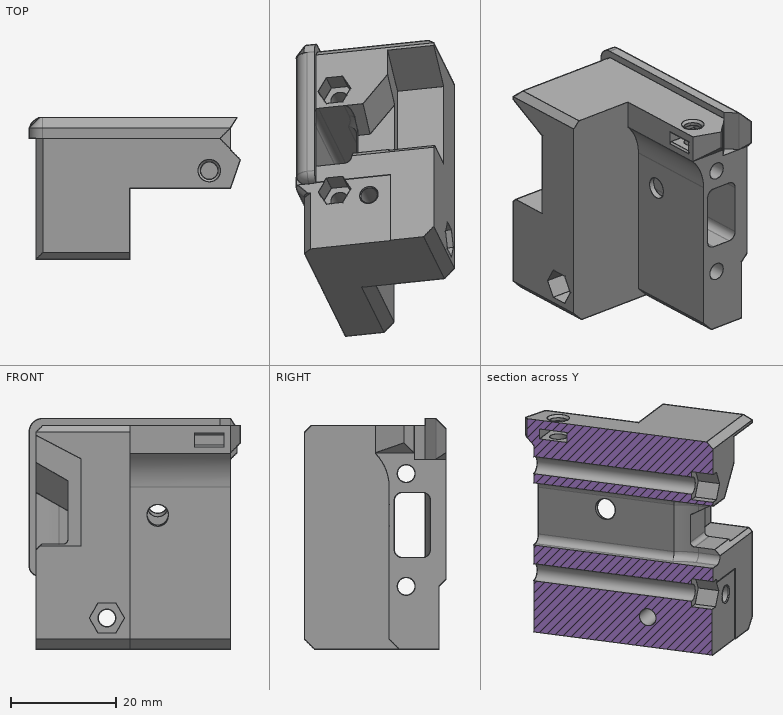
import cadquery as cq
import math


BACK_Y = 27.0
TOP_Z = 42.7
BLOCK_X = 17.85
BODY_X = 37.05
STEP_DEPTH = 1.35
STEP_Z = 12.0
TOP_CHAMFER = 1.3
FOOT_CHAMFER = 2.0
REAR_CHAMFER = 1.75

ARM_Y = 13.5
ARM_HEAD_Z = 37.35
COVE_RADIUS = 9.0
COVE_ANGLE = math.radians(45)
COVE_FOOT_Z = ARM_HEAD_Z - COVE_RADIUS * math.sin(COVE_ANGLE)
WALL_Y = ARM_Y + COVE_RADIUS * (1 - math.cos(COVE_ANGLE))

RIM = 1.3
PLATE_Z = TOP_Z + RIM
PLATE_Y = 23.0
PLATE_FOOT_Z = 13.95
PLATE_CORNER = 2.6
PLATE_FOOT_CORNER = 2.0
PLATE_CHAMFER = 2.0

EAR_TIP = (38.95, 18.95)
EAR_EDGE_Z = 39.35
NOTCH_APEX_X = 35.02
NOTCH_HALF = BODY_X - NOTCH_APEX_X
LIP_X = 38.32
LIP_FOOT_Z = 36.2

DUCT_Z = (17.5, 29.88)
DUCT_FRONT_Y = 17.15
DUCT_BACK_Y = 24.02
DUCT_MOUTH_Y = 16.0
DUCT_FILLET = 1.5
BEND_RADIUS = 10.0
BEND_X = 4.4

OUTER_POCKET_X = 8.6
OUTER_POCKET_Y = 9.0
OUTER_FLOOR_Z = 19.7
OUTER_ROOF_Z = (40.8, 36.3)
INNER_POCKET_X = 6.05
INNER_FLOOR_Z = 20.05
INNER_ROOF_Z = (29.88, 26.4)
INNER_ROOF_Y = 13.8
INNER_ROOF_RISE = 5.7
POCKET_FILLET = 0.9
SILL_Z = 18.95

BOLT_DIAMETER = 3.35
BOLT_Y = 19.4
BOLT_Z = (12.0, 33.5)
SIDE_HEX_FLATS = 5.5
FRONT_BOLT_DIAMETER = 3.3
FRONT_BOLT = (13.5, 6.0)
FRONT_HEX_FLATS = 5.8
HEX_DEPTH = 4.4

EAR_HOLE = (33.0, 16.9)
EAR_HOLE_DIAMETER = 3.3
EAR_HOLE_MOUTH = 4.25
EAR_HOLE_DEPTH = 6.6
NUT_SLOT_WIDTH = 5.55
NUT_SLOT_Z = (38.6, 41.2)
NUT_SLOT_DEPTH = 6.15
NUT_SLOT_BEVEL = 0.35
SQUARE_HEIGHT = 0.75

SIDE_HOLE = (12.7, 10.25)
SIDE_HOLE_DIAMETER = 3.2
SIDE_HOLE_MOUTH = 3.6
SIDE_HOLE_DEPTH = 6.15

TILTED_HOLE = (23.2, 25.5)
TILTED_HOLE_DIAMETER = 4.05
TILT_ANGLE = 13.0

PAD_Y = 8.5
PAD_Z = 14.1
PAD_DEPTH = 0.18

CLEAR = 2.2


def along_x(points, start, end):
    """Prism along X from (Y, Z) points."""
    return cq.Workplane("YZ", origin=(start, 0, 0)).polyline(points).close().extrude(end - start)


def along_y(points, start, end):
    """Prism along Y from (X, Z) points."""
    return cq.Workplane("XZ", origin=(0, start, 0)).polyline(points).close().extrude(start - end)


def along_z(points, start, end):
    """Prism along Z from (X, Y) points."""
    return cq.Workplane("XY", origin=(0, 0, start)).polyline(points).close().extrude(end - start)


def make_body():
    rear = [
        (BACK_Y - STEP_DEPTH, 0),
        (BACK_Y - STEP_DEPTH, STEP_Z),
        (BACK_Y, STEP_Z + STEP_DEPTH),
        (BACK_Y, PLATE_Z - PLATE_CHAMFER),
        (BACK_Y - PLATE_CHAMFER + RIM, TOP_Z),
    ]
    block_front = [
        (TOP_CHAMFER, TOP_Z),
        (0, TOP_Z - TOP_CHAMFER),
        (0, FOOT_CHAMFER),
        (FOOT_CHAMFER, 0),
    ]
    block = along_x(rear + block_front, 0, BLOCK_X)

    half_angle = COVE_ANGLE / 2
    cove_middle = (
        WALL_Y - COVE_RADIUS * (1 - math.cos(half_angle)),
        COVE_FOOT_Z + COVE_RADIUS * math.sin(half_angle),
    )
    arm = (
        cq.Workplane("YZ")
        .polyline(rear + [(ARM_Y, TOP_Z), (ARM_Y, ARM_HEAD_Z)])
        .threePointArc(cove_middle, (WALL_Y, COVE_FOOT_Z))
        .lineTo(WALL_Y, FOOT_CHAMFER)
        .lineTo(WALL_Y + FOOT_CHAMFER, 0)
        .close()
        .extrude(BODY_X)
    )
    body = block.union(arm)

    top_left = [(0, TOP_Z - TOP_CHAMFER), (TOP_CHAMFER, TOP_Z), (0, TOP_Z)]
    body = body.cut(along_y(top_left, 0, BACK_Y))

    lower_y = BACK_Y - STEP_DEPTH
    left_rear = [(0, lower_y - REAR_CHAMFER), (REAR_CHAMFER, lower_y), (0, lower_y)]
    body = body.cut(along_z(left_rear, 0, STEP_Z))
    return body.cut(step_left_round())


def step_left_round():
    """Waste outside the round that runs up the left edge of the 45 degree step."""
    rear_y = BACK_Y - STEP_DEPTH
    centre_y = rear_y - REAR_CHAMFER
    diagonal = REAR_CHAMFER * math.sqrt(0.5)
    section = (
        cq.Workplane("XY", origin=(0, 0, STEP_Z))
        .moveTo(0, centre_y)
        .threePointArc((REAR_CHAMFER - diagonal, centre_y + diagonal), (REAR_CHAMFER, rear_y))
        .lineTo(0, rear_y)
        .close()
    )
    rise = STEP_DEPTH + REAR_CHAMFER
    return cq.Workplane(cq.Solid.extrudeLinear(section.val(), [], cq.Vector(0, rise, rise)))


def make_plate():
    outline = [
        (-RIM, PLATE_FOOT_Z),
        (BODY_X, PLATE_FOOT_Z),
        (BODY_X, PLATE_Z),
        (-RIM, PLATE_Z),
    ]
    plate = along_y(outline, PLATE_Y, BACK_Y)
    plate = plate.edges("|Y and <X and >Z").fillet(PLATE_CORNER)
    return plate.edges("|Y and <X and <Z").fillet(PLATE_FOOT_CORNER)


def make_ear():
    """Ear beyond the right face, with a 45 degree underside."""
    tip_x, tip_y = EAR_TIP
    reach = tip_x - BODY_X
    ear = along_z([(BODY_X, ARM_Y), EAR_TIP, (BODY_X, tip_y + reach)], ARM_HEAD_Z, TOP_Z)
    underside = [(BODY_X, EAR_EDGE_Z - reach), (tip_x, EAR_EDGE_Z), (tip_x, 0), (BODY_X, 0)]
    return ear.cut(along_y(underside, 0, BACK_Y))


def make_lip():
    """Tapered end of the face plate, with a 45 degree underside."""
    outline = [(BODY_X, PLATE_Y + NOTCH_HALF), (LIP_X, BACK_Y), (BODY_X, BACK_Y)]
    lip = along_z(outline, LIP_FOOT_Z, PLATE_Z)
    underside = [(BODY_X, LIP_FOOT_Z), (LIP_X, LIP_FOOT_Z + LIP_X - BODY_X), (LIP_X, LIP_FOOT_Z)]
    return lip.cut(along_y(underside, 0, BACK_Y))


def notch():
    outline = [
        (NOTCH_APEX_X, PLATE_Y),
        (BODY_X, PLATE_Y - NOTCH_HALF),
        (BODY_X, PLATE_Y + NOTCH_HALF),
    ]
    return along_z(outline, LIP_FOOT_Z, PLATE_Z)


def plate_top_chamfer():
    corner = [(BACK_Y - PLATE_CHAMFER, PLATE_Z), (BACK_Y, PLATE_Z), (BACK_Y, PLATE_Z - PLATE_CHAMFER)]
    return along_x(corner, -RIM, LIP_X)


def plate_left_round():
    """Waste outside the rounded left rear edge of the face plate and its two corners."""
    foot_z = PLATE_FOOT_Z + PLATE_FOOT_CORNER
    top_z = PLATE_Z - PLATE_CORNER
    arc_x = PLATE_CORNER - RIM
    arc_y = BACK_Y - PLATE_CORNER

    def section(z, end_x):
        """Area between the rounded and the square edge, cut off at end_x."""

        def on_round(x):
            return x, arc_y + math.sqrt(PLATE_CORNER**2 - (arc_x - x) ** 2)

        return (
            cq.Workplane("XY", origin=(0, 0, z))
            .moveTo(-RIM, arc_y)
            .threePointArc(on_round((end_x - RIM) / 2), on_round(end_x))
            .lineTo(end_x, BACK_Y + CLEAR)
            .lineTo(-RIM, BACK_Y + CLEAR)
            .close()
        )

    foot_x = PLATE_FOOT_CORNER - RIM
    straight = section(foot_z, arc_x).extrude(top_z - foot_z)
    bevel = [(-RIM, BACK_Y - PLATE_CHAMFER), (PLATE_CHAMFER - RIM, BACK_Y), (-RIM, BACK_Y)]
    bevel_section = cq.Workplane("XY", origin=(0, 0, top_z)).polyline(bevel).close()
    top = bevel_section.revolve(90, (arc_x, 0, 0), (arc_x, 1, 0))
    foot = section(foot_z, foot_x).revolve(90, (foot_x, 0.45, 0), (foot_x, 0, 0))
    return straight, top, foot


def duct():
    """Passage along X whose walls bend forward towards the left."""
    mouth_drop = DUCT_FRONT_Y - DUCT_MOUTH_Y
    front_angle = math.acos(1 - mouth_drop / BEND_RADIUS)
    back_angle = math.asin(BEND_X / BEND_RADIUS)

    def front_bend(angle):
        """Point on the arc that leaves the mouth's front wall tangentially."""
        return (
            BEND_X + BEND_RADIUS * math.sin(angle),
            DUCT_MOUTH_Y + BEND_RADIUS * (1 - math.cos(angle)),
        )

    def back_bend(angle):
        """Point on the arc that leaves the straight rear wall tangentially."""
        return (
            BEND_X - BEND_RADIUS * math.sin(angle),
            DUCT_BACK_Y - BEND_RADIUS * (1 - math.cos(angle)),
        )

    end_x = BODY_X + CLEAR
    passage = (
        cq.Workplane("XY", origin=(0, 0, DUCT_Z[0]))
        .moveTo(0, DUCT_MOUTH_Y)
        .lineTo(BEND_X, DUCT_MOUTH_Y)
        .threePointArc(front_bend(front_angle / 2), front_bend(front_angle))
        .lineTo(end_x, DUCT_FRONT_Y)
        .lineTo(end_x, DUCT_BACK_Y)
        .lineTo(0, DUCT_BACK_Y)
        .close()
        .extrude(DUCT_Z[1] - DUCT_Z[0])
    )
    long_edges = passage.faces("<Z or >Z").edges("not(<X or >X)")
    rear_swell = (
        cq.Workplane("XY", origin=(0, 0, DUCT_Z[0]))
        .moveTo(BEND_X, DUCT_BACK_Y)
        .threePointArc(back_bend(back_angle / 2), back_bend(back_angle))
        .lineTo(0, DUCT_BACK_Y)
        .close()
        .extrude(DUCT_Z[1] - DUCT_Z[0])
    )
    return long_edges.fillet(DUCT_FILLET).cut(rear_swell)


def outer_pocket():
    left_roof_z, end_roof_z = OUTER_ROOF_Z
    outline = [
        (0, OUTER_FLOOR_Z),
        (OUTER_POCKET_X, OUTER_FLOOR_Z),
        (OUTER_POCKET_X, end_roof_z),
        (0, left_roof_z),
    ]
    return along_y(outline, 0, OUTER_POCKET_Y)


def inner_pocket():
    """Pocket from the outer one to the duct; its roof falls to the right and to the rear."""
    left_roof_z, end_roof_z = INNER_ROOF_Z
    rear_y = DUCT_MOUTH_Y + DUCT_FILLET

    outline = [
        (0, INNER_FLOOR_Z),
        (INNER_POCKET_X, INNER_FLOOR_Z),
        (INNER_POCKET_X, end_roof_z + INNER_ROOF_RISE),
        (0, left_roof_z + INNER_ROOF_RISE),
    ]
    floor_to_roof = along_y(outline, OUTER_POCKET_Y, rear_y)
    roof_section = [
        cq.Vector(0, OUTER_POCKET_Y, left_roof_z + INNER_ROOF_RISE),
        cq.Vector(0, INNER_ROOF_Y, left_roof_z),
        cq.Vector(0, rear_y, left_roof_z),
        cq.Vector(0, rear_y, TOP_Z),
        cq.Vector(0, OUTER_POCKET_Y, TOP_Z),
    ]
    roof = cq.Solid.extrudeLinear(
        cq.Wire.makePolygon(roof_section, close=True),
        [],
        cq.Vector(INNER_POCKET_X, 0, end_roof_z - left_roof_z),
    )
    pocket = floor_to_roof.edges("|Y and >X and <Z").fillet(POCKET_FILLET)
    return pocket.cut(cq.Workplane(roof))


def sill_bevel():
    """Bevel where the pocket floors meet the left face."""

    def bevel(floor_z, start, end):
        size = floor_z - SILL_Z
        return along_y([(0, SILL_Z), (size, floor_z), (0, floor_z)], start, end)

    return bevel(OUTER_FLOOR_Z, 0, OUTER_POCKET_Y).union(
        bevel(INNER_FLOOR_Z, OUTER_POCKET_Y, DUCT_MOUTH_Y)
    )


def hexagon(plane, flats):
    return plane.polygon(6, flats / math.cos(math.pi / 6)).extrude(HEX_DEPTH)


def side_bolt(z):
    plane = cq.Workplane("YZ", origin=(0, BOLT_Y, z))
    return plane.circle(BOLT_DIAMETER / 2).extrude(BODY_X).union(hexagon(plane, SIDE_HEX_FLATS))


def front_bolt():
    x, z = FRONT_BOLT
    plane = cq.Workplane(cq.Plane(origin=(x, 0, z), xDir=(1, 0, 0), normal=(0, 1, 0)))
    return plane.circle(FRONT_BOLT_DIAMETER / 2).extrude(BACK_Y).union(hexagon(plane, FRONT_HEX_FLATS))


def flared_hole(plane, diameter, mouth, depth):
    """Blind hole with a 45 degree chamfer at the mouth."""
    chamfer = (mouth - diameter) / 2
    cone = plane.circle(mouth / 2).workplane(offset=chamfer).circle(diameter / 2).loft()
    return plane.circle(diameter / 2).extrude(depth).union(cone)


def ear_hole():
    x, y = EAR_HOLE
    plane = cq.Workplane(cq.Plane(origin=(x, y, TOP_Z), xDir=(1, 0, 0), normal=(0, 0, -1)))
    return flared_hole(plane, EAR_HOLE_DIAMETER, EAR_HOLE_MOUTH, EAR_HOLE_DEPTH)


def nut_slot():
    """Slot for a nut, bevelled above and below at its mouth, with a square relief in its roof."""
    low, high = NUT_SLOT_Z
    bevel = NUT_SLOT_BEVEL
    outline = [
        (ARM_Y, low),
        (ARM_Y + bevel, low + bevel),
        (ARM_Y + NUT_SLOT_DEPTH, low + bevel),
        (ARM_Y + NUT_SLOT_DEPTH, high - bevel),
        (ARM_Y + bevel, high - bevel),
        (ARM_Y, high),
    ]
    half_width = NUT_SLOT_WIDTH / 2
    slot = along_x(outline, EAR_HOLE[0] - half_width, EAR_HOLE[0] + half_width)
    roof_plane = cq.Workplane("XY", origin=(*EAR_HOLE, high - bevel))
    square = roof_plane.rect(EAR_HOLE_DIAMETER, EAR_HOLE_DIAMETER).extrude(SQUARE_HEIGHT)
    return slot.union(square)


def side_hole():
    y, z = SIDE_HOLE
    plane = cq.Workplane("YZ", origin=(PAD_DEPTH, y, z))
    return flared_hole(plane, SIDE_HOLE_DIAMETER, SIDE_HOLE_MOUTH, SIDE_HOLE_DEPTH)


def tilted_hole():
    """Hole through the arm wall and the face plate, rising to the rear."""
    x, z = TILTED_HOLE
    tilt = math.radians(TILT_ANGLE)
    axis = (0, math.cos(tilt), math.sin(tilt))
    plane = cq.Workplane(cq.Plane(origin=(x, WALL_Y, z), xDir=(1, 0, 0), normal=axis))
    length = (BACK_Y - WALL_Y) / math.cos(tilt) + 2 * CLEAR
    return plane.workplane(offset=-CLEAR).circle(TILTED_HOLE_DIAMETER / 2).extrude(length)


def side_pad():
    """Shallow recess open to the rear and below."""
    recess = [(PAD_Y, 0), (BACK_Y, 0), (BACK_Y, PAD_Z), (PAD_Y, PAD_Z)]
    return along_x(recess, 0, PAD_DEPTH)


body = make_body().cut(side_pad())
result = body.union(make_plate()).union(make_ear()).union(make_lip())
tools = [
    notch(), plate_top_chamfer(), *plate_left_round(), duct(), outer_pocket(), inner_pocket(),
    sill_bevel(), side_bolt(BOLT_Z[0]), side_bolt(BOLT_Z[1]), front_bolt(), ear_hole(), nut_slot(),
    side_hole(), tilted_hole(),
]
for tool in tools:
    result = result.cut(tool)